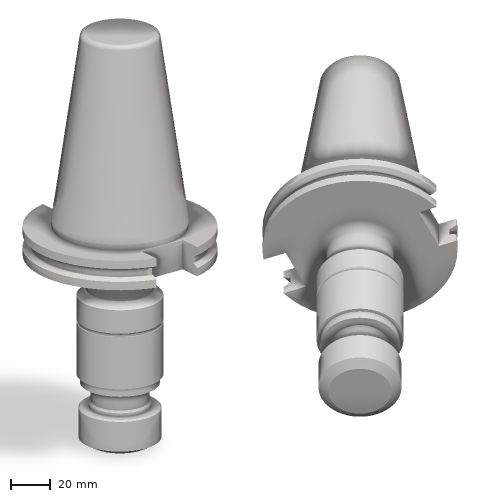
import math

import cadquery as cq


gauge_diameter = 69.85
taper_ratio = 7 / 24
taper_length = 101.75
taper_tip_fillet = 2.6
gauge_land_height = 0.5
relief_diameter = 69.4

flange_diameter = 98.425
flange_top_z = -3.2
flange_bottom_z = -19.1
groove_center_z = -11.1
groove_mouth_width = 7.0
groove_floor_width = 4.0
groove_flank_angle = 30.0
groove_floor_diameter = 91.0

slot_width = 25.9
slot_floor_minus_x = 37.7
slot_floor_plus_x = 35.3

neck_diameter = 34.6
neck_fillet = 4.0
body_diameter = 44.0
body_top_z = -37.1
body_chamfer = 3.5
ring_groove_diameter = 42.0
ring_groove_top_z = -53.2
ring_groove_width = 1.9
body_bottom_z = -83.4
collar_diameter = 40.4
collar_bottom_z = -88.1

spindle_diameter = 30.0
spindle_groove_diameter = 29.59
spindle_groove_top_z = -95.4
spindle_groove_bottom_z = -97.6
nut_hub_diameter = 31.98
nut_hub_cone_bottom_z = -98.7
nut_diameter = 42.0
nut_top_z = -100.6
nut_top_chamfer = 0.8
nut_nose_top_z = -117.5
nut_nose_angle = 30.0
nut_bottom_z = -120.45


def revolve_profile(radius_height_points):
    """Solid of revolution about Z from (radius, z) points, closed along the axis."""
    top_z = radius_height_points[0][1]
    bottom_z = radius_height_points[-1][1]
    points = [(0, top_z)] + radius_height_points + [(0, bottom_z)]
    return cq.Workplane("XZ").polyline(points).close().revolve(360, (0, 0), (0, 1))


def make_taper():
    tip_diameter = gauge_diameter - taper_length * taper_ratio
    taper = revolve_profile([
        (tip_diameter / 2, taper_length),
        (gauge_diameter / 2, 0),
        (gauge_diameter / 2, -gauge_land_height),
        (relief_diameter / 2, -gauge_land_height),
        (relief_diameter / 2, flange_top_z),
    ])
    return taper.faces(">Z").edges().fillet(taper_tip_fillet)


def make_flange():
    rim = flange_diameter / 2
    floor = groove_floor_diameter / 2
    flank_height = (groove_mouth_width - groove_floor_width) / 2
    flank_foot = rim - flank_height / math.tan(math.radians(groove_flank_angle))
    flange = revolve_profile([
        (rim, flange_top_z),
        (rim, groove_center_z + groove_mouth_width / 2),
        (flank_foot, groove_center_z + groove_floor_width / 2),
        (floor, groove_center_z + groove_floor_width / 2),
        (floor, groove_center_z - groove_floor_width / 2),
        (flank_foot, groove_center_z - groove_floor_width / 2),
        (rim, groove_center_z - groove_mouth_width / 2),
        (rim, flange_bottom_z),
    ])
    for side, floor_distance in ((-1, slot_floor_minus_x), (1, slot_floor_plus_x)):
        flange = flange.cut(make_slot_cutter(side, floor_distance))
    return flange


def make_slot_cutter(side, floor_distance):
    """Box that opens one driving slot from its floor outwards, over the full flange height."""
    depth = flange_diameter / 2 - floor_distance
    height = flange_top_z - flange_bottom_z
    center_x = side * (floor_distance + depth / 2)
    center_z = (flange_top_z + flange_bottom_z) / 2
    return cq.Workplane("XY").box(depth, slot_width, height).translate((center_x, 0, center_z))


def make_neck():
    radius = neck_diameter / 2
    arc_offset = neck_fillet * (1 - math.sqrt(0.5))
    return (
        cq.Workplane("XZ")
        .moveTo(0, flange_bottom_z)
        .lineTo(radius + neck_fillet, flange_bottom_z)
        .threePointArc(
            (radius + arc_offset, flange_bottom_z - arc_offset),
            (radius, flange_bottom_z - neck_fillet),
        )
        .lineTo(radius, body_top_z)
        .lineTo(0, body_top_z)
        .close()
        .revolve(360, (0, 0), (0, 1))
    )


def make_body():
    """Body with a ring groove whose upper flank slopes at 45 degrees and whose lower wall is flat."""
    radius = body_diameter / 2
    ring_groove_depth = radius - ring_groove_diameter / 2
    ring_groove_bottom_z = ring_groove_top_z - ring_groove_width
    return revolve_profile([
        (radius - body_chamfer, body_top_z),
        (radius, body_top_z - body_chamfer),
        (radius, ring_groove_top_z),
        (ring_groove_diameter / 2, ring_groove_top_z - ring_groove_depth),
        (ring_groove_diameter / 2, ring_groove_bottom_z),
        (radius, ring_groove_bottom_z),
        (radius, body_bottom_z),
        (collar_diameter / 2, body_bottom_z),
        (collar_diameter / 2, collar_bottom_z),
    ])


def make_spindle_and_nut():
    nose_height = nut_nose_top_z - nut_bottom_z
    nose_radius = nut_diameter / 2 - nose_height / math.tan(math.radians(nut_nose_angle))
    return revolve_profile([
        (spindle_diameter / 2, collar_bottom_z),
        (spindle_diameter / 2, spindle_groove_top_z),
        (spindle_groove_diameter / 2, spindle_groove_top_z),
        (spindle_groove_diameter / 2, spindle_groove_bottom_z),
        (spindle_diameter / 2, spindle_groove_bottom_z),
        (nut_hub_diameter / 2, nut_hub_cone_bottom_z),
        (nut_hub_diameter / 2, nut_top_z),
        (nut_diameter / 2 - nut_top_chamfer, nut_top_z),
        (nut_diameter / 2, nut_top_z - nut_top_chamfer),
        (nut_diameter / 2, nut_nose_top_z),
        (nose_radius, nut_bottom_z),
    ])


result = (
    make_taper()
    .union(make_flange())
    .union(make_neck())
    .union(make_body())
    .union(make_spindle_and_nut())
)